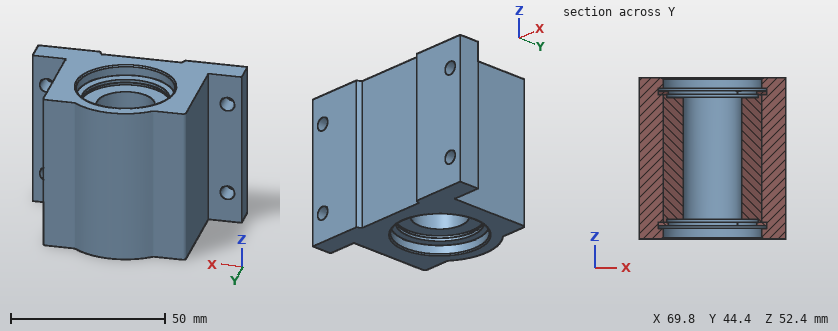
import cadquery as cq
import math


length = 52.4
flange_width = 69.85
block_width = 47.65
axis_height = 23.8
overall_height = 44.4
shoulder_height = 39.7
flange_thickness = 7.95
edge_radius = 1.05
relief_depth = 1.75
relief_floor_width = 26.7
relief_mouth_width = 28.6
bore_radius = 16.1
bore_chamfer = 0.5
land_length = 3.5

hole_diameter = 4.75
hole_spacing_x = 60.35
hole_spacing_z = 31.8

shaft_diameter = 19.1
bearing_length = 41.55
recess_radius = 14.8
recess_depth = 1.0

ring_inner_radius = 14.4
ring_outer_radius = 17.6
ring_thickness = 1.1
slit_width = 0.15
inner_slit_angle = 55.4
outer_slit_angle = 60.4
slit_step_radius = 15.85

mount_y = -axis_height
shoulder_y = mount_y + shoulder_height
flange_y = mount_y + flange_thickness
crown_radius = overall_height - axis_height
mid_z = length / 2
bearing_top = mid_z + bearing_length / 2


def housing_blank():
    """Flange, block and crown, with the long edges of the block rounded."""
    flange = cq.Workplane("XY").box(flange_width, flange_thickness, length, centered=(True, False, False))
    block = cq.Workplane("XY").box(block_width, shoulder_height, length, centered=(True, False, False))
    crown = cq.Workplane("XY").circle(crown_radius).extrude(length)
    blank = flange.union(block).translate((0, mount_y, 0)).union(crown)

    crown_edge_x = math.sqrt(crown_radius**2 - shoulder_y**2)
    for x in (block_width / 2, crown_edge_x):
        for side in (-1, 1):
            corner = cq.selectors.NearestToPointSelector((side * x, shoulder_y, mid_z))
            blank = blank.edges("|Z").edges(corner).fillet(edge_radius)
    return blank


def relief():
    """Trapezoidal channel along the middle of the mounting face."""
    floor_y = mount_y + relief_depth
    return (
        cq.Workplane("XY")
        .moveTo(-relief_mouth_width / 2, mount_y)
        .lineTo(-relief_floor_width / 2, floor_y)
        .lineTo(relief_floor_width / 2, floor_y)
        .lineTo(relief_mouth_width / 2, mount_y)
        .close()
        .extrude(length)
    )


def mounting_holes():
    """Four plain holes through the flange along Y."""
    return (
        cq.Workplane("XZ", origin=(0, flange_y, mid_z))
        .rarray(hole_spacing_x, hole_spacing_z, 2, 2)
        .circle(hole_diameter / 2)
        .extrude(flange_thickness)
    )


def mirrored(upper):
    """The matching shape at the other end of the housing."""
    return upper.mirror("XY", (0, 0, mid_z))


def upper_half_bore():
    """Bore from mid length to the top face, with its ring groove and mouth chamfer."""
    groove_top = length - land_length
    profile = [
        (0, mid_z),
        (bore_radius, mid_z),
        (bore_radius, bearing_top),
        (ring_outer_radius, bearing_top),
        (ring_outer_radius, groove_top),
        (bore_radius, groove_top),
        (bore_radius, length - bore_chamfer),
        (bore_radius + bore_chamfer, length),
        (0, length),
    ]
    return cq.Workplane("XZ").polyline(profile).close().revolve(360, (0, 0, 0), (0, 1, 0))


def make_housing():
    half_bore = upper_half_bore()
    return housing_blank().cut(half_bore).cut(mirrored(half_bore)).cut(relief()).cut(mounting_holes())


def make_bearing():
    """Sleeve filling the bore between the rings, with a shallow recess in each end face."""
    sleeve = (
        cq.Workplane("XY", origin=(0, 0, mid_z - bearing_length / 2))
        .circle(bore_radius)
        .circle(shaft_diameter / 2)
        .extrude(bearing_length)
    )
    recess = (
        cq.Workplane("XY", origin=(0, 0, bearing_top - recess_depth))
        .circle(recess_radius)
        .extrude(recess_depth)
    )
    return sleeve.cut(recess).cut(mirrored(recess))


def radial_slit(angle, inner, outer):
    """Straight slit pointing out from the bore axis, from one radius to another."""
    return (
        cq.Workplane("XY", origin=(0, 0, bearing_top))
        .transformed(rotate=(0, 0, angle))
        .center((inner + outer) / 2, 0)
        .rect(outer - inner, slit_width)
        .extrude(ring_thickness)
    )


def slit_step():
    """Curved slit that joins the inner and outer radial slits."""
    sweep = outer_slit_angle - inner_slit_angle
    return (
        cq.Workplane("XZ")
        .center(slit_step_radius, bearing_top + ring_thickness / 2)
        .rect(slit_width, ring_thickness)
        .revolve(sweep, (-slit_step_radius, 0, 0), (-slit_step_radius, 1, 0))
        .rotate((0, 0, 0), (0, 0, 1), inner_slit_angle)
    )


def make_upper_ring():
    """Retaining ring resting on the bearing, parted by a stepped slit."""
    clearance = 0.7
    inner_slit = radial_slit(
        inner_slit_angle, ring_inner_radius - clearance, slit_step_radius + slit_width / 2
    )
    outer_slit = radial_slit(
        outer_slit_angle, slit_step_radius - slit_width / 2, ring_outer_radius + clearance
    )
    return (
        cq.Workplane("XY", origin=(0, 0, bearing_top))
        .circle(ring_outer_radius)
        .circle(ring_inner_radius)
        .extrude(ring_thickness)
        .cut(inner_slit)
        .cut(slit_step())
        .cut(outer_slit)
    )


housing = make_housing()
bearing = make_bearing()
upper_ring = make_upper_ring()
rings = [upper_ring, mirrored(upper_ring)]

result = cq.Compound.makeCompound([housing.val(), bearing.val(), *[ring.val() for ring in rings]])